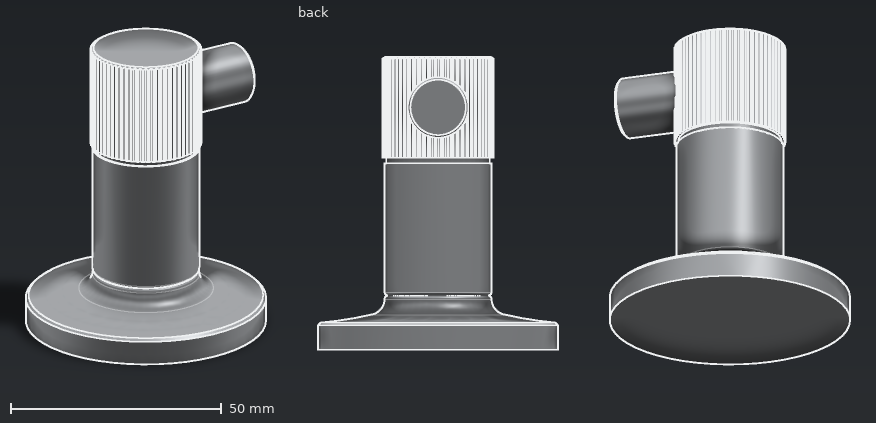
import cadquery as cq
import math

TOTAL_HEIGHT = 69.6
RIM_HEIGHT = 6.5
SADDLE_HEIGHT = 8.35
NECK_HEIGHT = 12.05
FLANGE_TOP = 12.9
BODY_TOP = 44.3
KNOB_BOTTOM = 45.6

FLANGE_DIAMETER = 57.15
FLANGE_RADIUS = FLANGE_DIAMETER / 2
RIM_CHAMFER = 0.7
SADDLE_RADIUS = 16.0
DISH_RADIUS = 87.0
NECK_CURVE_RADIUS = 3.75

BODY_RADIUS = 12.75
COLLAR_RADIUS = 12.3
SEAM_ROUND = FLANGE_TOP - NECK_HEIGHT

TOOTH_COUNT = 64
TOOTH_TIP_RADIUS = 13.2
TOOTH_ROOT_RADIUS = 12.9
TOOTH_LAND = 0.3
KNOB_FACE_RADIUS = 12.45
KNOB_CHAMFER_HEIGHT = 0.5
KNOB_CHAMFER_WIDTH = TOOTH_TIP_RADIUS - KNOB_FACE_RADIUS

LEVER_DIAMETER = 14.4
LEVER_RADIUS = LEVER_DIAMETER / 2
LEVER_REACH = 26.7
LEVER_HEIGHT = 57.55
LEVER_CHAMFER = 0.6


def make_flange():
    """Dished flange with a concave neck, revolved about Z."""
    return (
        cq.Workplane("XZ")
        .lineTo(FLANGE_RADIUS, 0)
        .lineTo(FLANGE_RADIUS, RIM_HEIGHT - RIM_CHAMFER)
        .lineTo(FLANGE_RADIUS - RIM_CHAMFER, RIM_HEIGHT)
        .radiusArc((SADDLE_RADIUS, SADDLE_HEIGHT), DISH_RADIUS)
        .radiusArc((BODY_RADIUS, NECK_HEIGHT), NECK_CURVE_RADIUS)
        .radiusArc((BODY_RADIUS - SEAM_ROUND, FLANGE_TOP), -SEAM_ROUND)
        .lineTo(0, FLANGE_TOP)
        .close()
        .revolve(360, (0, 0, 0), (0, 1, 0))
    )


def make_body():
    """Plain cylinder with a rounded lower edge, plus the collar under the knob."""
    body = (
        cq.Workplane("XY", origin=(0, 0, FLANGE_TOP))
        .circle(BODY_RADIUS)
        .extrude(BODY_TOP - FLANGE_TOP)
        .faces("<Z")
        .edges()
        .fillet(SEAM_ROUND)
    )
    collar = (
        cq.Workplane("XY", origin=(0, 0, BODY_TOP))
        .circle(COLLAR_RADIUS)
        .extrude(KNOB_BOTTOM - BODY_TOP)
    )
    return body.union(collar)


def polar_point(radius, angle):
    """Point in the XY plane at a radius and an angle in radians."""
    return (radius * math.cos(angle), radius * math.sin(angle))


def make_knob():
    """Knob with straight V-groove knurling and a chamfered top edge."""
    pitch = 2 * math.pi / TOOTH_COUNT
    half_groove = (1 - TOOTH_LAND) / 2 * pitch
    outline = []
    for groove in range(TOOTH_COUNT):
        angle = groove * pitch
        outline.append(polar_point(TOOTH_TIP_RADIUS, angle - half_groove))
        outline.append(polar_point(TOOTH_ROOT_RADIUS, angle))
        outline.append(polar_point(TOOTH_TIP_RADIUS, angle + half_groove))

    height = TOTAL_HEIGHT - KNOB_BOTTOM
    base = cq.Workplane("XY", origin=(0, 0, KNOB_BOTTOM))
    knurled = base.polyline(outline).close().extrude(height)
    blank = (
        base.circle(TOOTH_TIP_RADIUS)
        .extrude(height)
        .faces(">Z")
        .chamfer(KNOB_CHAMFER_HEIGHT, KNOB_CHAMFER_WIDTH)
    )
    return knurled.intersect(blank)


def make_lever():
    """Round lever running from the knob axis out to +Y."""
    return (
        cq.Workplane("XZ", origin=(0, 0, LEVER_HEIGHT))
        .circle(LEVER_RADIUS)
        .extrude(-LEVER_REACH)
        .faces(">Y")
        .chamfer(LEVER_CHAMFER)
    )


result = make_flange().union(make_body()).union(make_knob()).union(make_lever())